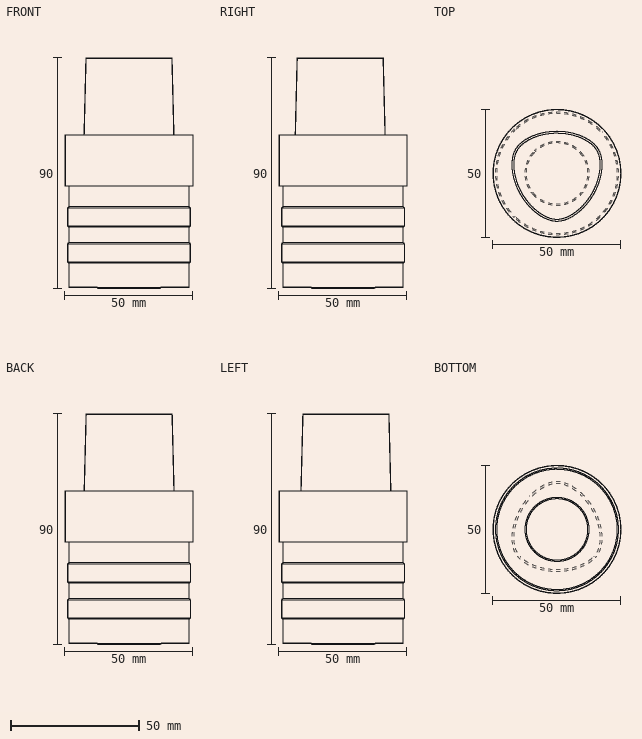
import math

import cadquery as cq

foot_height = 0.5
collar_bottom = 40.0
collar_top = 60.0
total_height = 90.0

foot_bottom_diameter = 24.0
shank_diameter = 47.0
band_diameter = 48.0
collar_diameter = 49.98

band_width = 8.0
band_bottoms = (10.0, 24.0)
band_chamfer = (band_diameter - shank_diameter) / 2

polygon_diameter = 35.15
polygon_eccentricity = 1.12
polygon_taper = 1 / 20
polygon_points = 48


def cylinder(diameter, bottom, top):
    """Solid cylinder about the Z axis between two heights."""
    return cq.Workplane("XY").workplane(offset=bottom).circle(diameter / 2).extrude(top - bottom)


def tapered_foot():
    """Shallow conical foot that widens at 45 degrees up to the underside of the shank."""
    bottom_radius = foot_bottom_diameter / 2
    cone = cq.Solid.makeCone(bottom_radius, bottom_radius + foot_height, foot_height)
    return cq.Workplane(obj=cone)


def chamfered_band(bottom):
    """Raised band whose ends slope down to the shank surface."""
    band = cylinder(band_diameter, bottom, bottom + band_width)
    return band.faces("<Z or >Z").edges().chamfer(band_chamfer)


def polygon_wire(mean_diameter, height):
    """Closed three-lobed curve at the given height, with one lobe toward -Y."""
    radius = mean_diameter / 2
    e = polygon_eccentricity
    points = []
    for i in range(polygon_points):
        a = 2 * math.pi * i / polygon_points
        x = radius * math.sin(a) + 2 * e * math.sin(2 * a) + e * math.sin(4 * a)
        y = radius * math.cos(a) - 2 * e * math.cos(2 * a) + e * math.cos(4 * a)
        points.append(cq.Vector(x, y, height))
    return cq.Wire.assembleEdges([cq.Edge.makeSpline(points, periodic=True)])


def tapered_polygon():
    """Polygon shank that narrows from the collar up to the end face."""
    top_diameter = polygon_diameter - polygon_taper * (total_height - collar_top)
    base = polygon_wire(polygon_diameter, collar_top)
    end = polygon_wire(top_diameter, total_height)
    return cq.Workplane(obj=cq.Solid.makeLoft([base, end], True))


body = tapered_foot()
body = body.union(cylinder(shank_diameter, foot_height, collar_bottom))
for band_bottom in band_bottoms:
    body = body.union(chamfered_band(band_bottom))
body = body.union(cylinder(collar_diameter, collar_bottom, collar_top))

result = body.union(tapered_polygon())